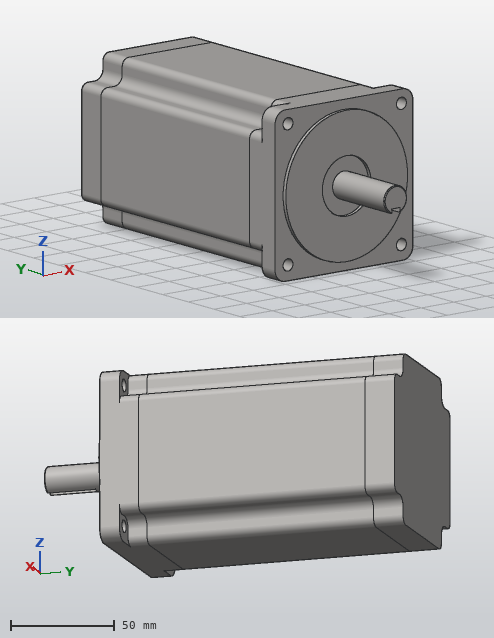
import cadquery as cq


TOTAL_LENGTH = 190.0
MOTOR_SIDE = 85.0
SHAFT_REACH = 40.0
REAR_Y = TOTAL_LENGTH - SHAFT_REACH

NOTCH_SIDE = 13.1
NOTCH_OUTER_RADIUS = 4.0
NOTCH_INNER_RADIUS = 5.1

FRONT_COVER_LENGTH = 19.8
REAR_COVER_LENGTH = 15.0
STATOR_LENGTH = REAR_Y - FRONT_COVER_LENGTH - REAR_COVER_LENGTH

FLANGE_THICKNESS = 10.0
FLANGE_CORNER_RADIUS = 6.3
HOLE_SPACING = 70.0
HOLE_DIAMETER = 6.0
HOLE_OFFSET = 0.42

PILOT_DIAMETER = 75.0
PILOT_HEIGHT = 2.0
RECESS_DIAMETER = 30.0
RECESS_DEPTH = 2.0

SHAFT_DIAMETER = 14.0
SHAFT_CHAMFER = 0.5
KEYWAY_WIDTH = 5.0
KEYWAY_LENGTH = 24.7
KEYWAY_FLOOR = 4.2


def plane_at(y):
    """Workplane across the motor axis at y, with local x = X, local y = Z and normal -Y."""
    return cq.Workplane("XZ", origin=(0, y, 0))


def body_section(front_y, length):
    """Square prism with a rounded step along each long corner, running from front_y toward +Y."""
    block = plane_at(front_y).rect(MOTOR_SIDE, MOTOR_SIDE).extrude(-length)
    notches = (
        plane_at(front_y)
        .rect(MOTOR_SIDE, MOTOR_SIDE, forConstruction=True)
        .vertices()
        .rect(2 * NOTCH_SIDE, 2 * NOTCH_SIDE)
        .extrude(-length)
        .edges("|Y")
        .fillet(NOTCH_INNER_RADIUS)
    )
    stepped = block.cut(notches)
    outer_edges = stepped.faces("<X or >X or <Z or >Z").edges("|Y")
    return outer_edges.fillet(NOTCH_OUTER_RADIUS)


def make_flange():
    """Rounded square plate with four through holes."""
    plate = (
        plane_at(0)
        .rect(MOTOR_SIDE, MOTOR_SIDE)
        .extrude(-FLANGE_THICKNESS)
        .edges("|Y")
        .fillet(FLANGE_CORNER_RADIUS)
    )
    holes = (
        plane_at(0)
        .center(HOLE_OFFSET, HOLE_OFFSET)
        .rarray(HOLE_SPACING, HOLE_SPACING, 2, 2)
        .circle(HOLE_DIAMETER / 2)
        .extrude(-FLANGE_THICKNESS)
    )
    return plate.cut(holes)


def make_shaft():
    """Shaft with a chamfered tip, from the recess floor to the tip, with a keyway on its -Z side."""
    root_y = RECESS_DEPTH - PILOT_HEIGHT
    shaft = (
        plane_at(root_y)
        .circle(SHAFT_DIAMETER / 2)
        .extrude(SHAFT_REACH + root_y)
        .faces("<Y")
        .chamfer(SHAFT_CHAMFER)
    )
    keyway = cq.Workplane("XY").box(
        KEYWAY_WIDTH, KEYWAY_LENGTH, SHAFT_DIAMETER, centered=(True, False, False)
    )
    return shaft.cut(keyway.translate((0, -SHAFT_REACH, -KEYWAY_FLOOR - SHAFT_DIAMETER)))


def make_front_cover():
    """Front cover: stepped section, flange, recessed pilot boss and output shaft."""
    pilot = plane_at(0).circle(PILOT_DIAMETER / 2).extrude(PILOT_HEIGHT)
    recess = plane_at(-PILOT_HEIGHT).circle(RECESS_DIAMETER / 2).extrude(-RECESS_DEPTH)
    neck = body_section(FLANGE_THICKNESS, FRONT_COVER_LENGTH - FLANGE_THICKNESS)
    return make_flange().union(neck).union(pilot).cut(recess).union(make_shaft())


def make_stator():
    """Middle body between the two covers."""
    return body_section(FRONT_COVER_LENGTH, STATOR_LENGTH)


def make_rear_cover():
    """Plain cover closing the +Y end."""
    return body_section(REAR_Y - REAR_COVER_LENGTH, REAR_COVER_LENGTH)


front_cover = make_front_cover()
stator = make_stator()
rear_cover = make_rear_cover()

result = cq.Compound.makeCompound([front_cover.val(), stator.val(), rear_cover.val()])